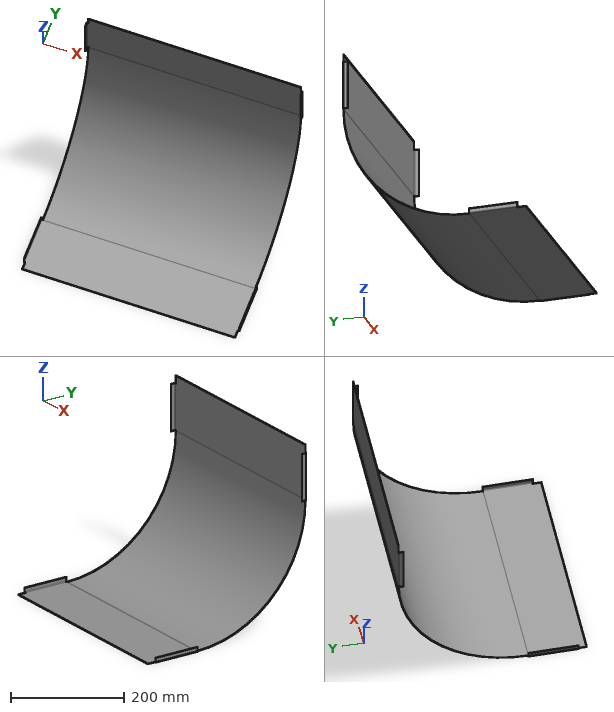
import cadquery as cq
import math


sheet_thickness = 0.6
sheet_width = 400.0
overall_width = 405.2
overall_reach = 339.35
plate_length = 105.0
lip_setback = 15.0
lip_height = 9.1
fold_inner_radius = 0.5

outer_radius = overall_reach - plate_length
inner_radius = outer_radius - sheet_thickness
lip_length = plate_length - lip_setback
fold_outer_radius = fold_inner_radius + sheet_thickness
diagonal_share = math.sqrt(0.5)


def make_sheet():
    """Plate, quarter bend and plate in one profile, with the X axis as bend axis."""
    outer_mid = outer_radius * diagonal_share
    inner_mid = inner_radius * diagonal_share
    return (
        cq.Workplane("YZ")
        .moveTo(outer_radius, plate_length)
        .lineTo(outer_radius, 0)
        .threePointArc((outer_mid, -outer_mid), (0, -outer_radius))
        .lineTo(-plate_length, -outer_radius)
        .lineTo(-plate_length, -inner_radius)
        .lineTo(0, -inner_radius)
        .threePointArc((inner_mid, -inner_mid), (inner_radius, 0))
        .lineTo(inner_radius, plate_length)
        .close()
        .extrude(sheet_width / 2, both=True)
    )


def make_lip_pair():
    """Lips folded up with a rounded bend on both side edges of the lower plate."""
    lip_outside = overall_width / 2
    lip_inside = lip_outside - sheet_thickness
    plate_side = sheet_width / 2
    fold_start = lip_outside - fold_outer_radius
    bottom = -outer_radius
    fold_axis_height = bottom + fold_outer_radius
    outer_mid = fold_outer_radius * diagonal_share
    inner_mid = fold_inner_radius * diagonal_share
    lip = (
        cq.Workplane("XZ")
        .moveTo(plate_side, bottom)
        .lineTo(fold_start, bottom)
        .threePointArc(
            (fold_start + outer_mid, fold_axis_height - outer_mid),
            (lip_outside, fold_axis_height),
        )
        .lineTo(lip_outside, bottom + lip_height)
        .lineTo(lip_inside, bottom + lip_height)
        .lineTo(lip_inside, fold_axis_height)
        .threePointArc(
            (fold_start + inner_mid, fold_axis_height - inner_mid),
            (fold_start, bottom + sheet_thickness),
        )
        .lineTo(plate_side, bottom + sheet_thickness)
        .close()
        .extrude(lip_length)
    )
    return lip.union(lip.mirror("YZ"))


def swap_plates(body):
    """Mirror a body from the lower plate to the rear plate, across the plane Z = -Y."""
    return body.mirror(cq.Vector(0, 1, 1), (0, 0, 0))


lower_lips = make_lip_pair()
rear_lips = swap_plates(lower_lips)
result = make_sheet().union(lower_lips).union(rear_lips)